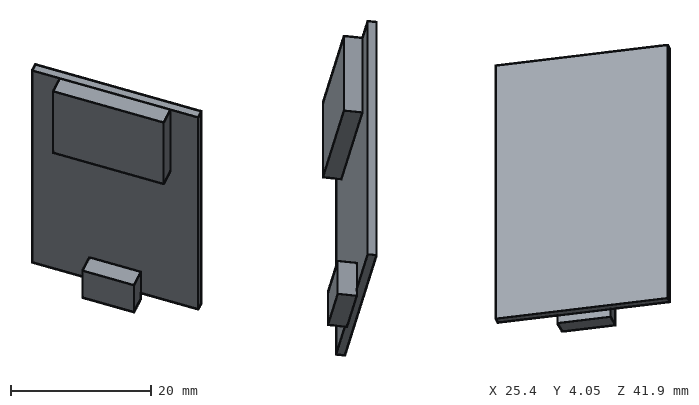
import cadquery as cq

total_height = 41.85
total_depth = 4.05

board_width = 25.4
board_thickness = 1.3
connector_overhang = 1.2
board_height = total_height - connector_overhang

module_width = 16.9
module_height = 13.0
module_depth = 2.68

connector_width = 7.85
connector_height = 5.75
connector_depth = total_depth - board_thickness


def upright_block(width, depth, height, front_y, bottom_z):
    """Block centred on X = 0, with its front face and underside at the given places."""
    block = cq.Workplane("XY").box(width, depth, height, centered=(True, False, False))
    return block.translate((0, front_y, bottom_z))


board = upright_block(board_width, board_thickness, board_height, 0, 0)

module = upright_block(
    module_width, module_depth, module_height, -module_depth, board_height - module_height
)

connector = upright_block(
    connector_width, connector_depth, connector_height, -connector_depth, -connector_overhang
)

result = cq.Compound.makeCompound([board.val(), module.val(), connector.val()])